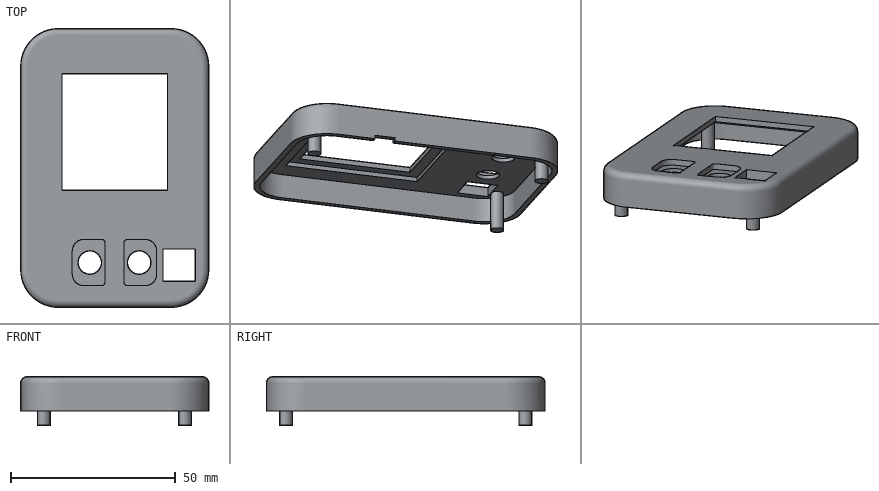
import cadquery as cq

width = 57.2
length = 84.7
body_height = 10.5
total_height = 14.8
corner_radius = 11.5
top_fillet = 2.0
wall = 1.8
roof = 3.0

window_width = 32.0
window_length = 35.2
window_y = 10.9
window_roof = 1.6
recess_margin = 3.4

button_spacing = 15.0
buttons_x = -0.1
button_y = -28.7
button_hole_diameter = 7.0
pocket_width = 10.0
pocket_length = 14.1
pocket_depth = 1.8
pocket_offset = 0.3
pocket_outer_radius = 3.55
pocket_inner_radius = 1.2

opening_size = 9.7
opening_x = 19.6
opening_y = -29.5

pin_diameter = 4.0
pin_spacing_x = 42.9
pin_spacing_y = 72.7
pins_x = -0.1
pin_length = total_height - body_height

notch_y = 16.1
notch_length = 6.35
notch_height = 1.1


def box(size_x, size_y, size_z, x, y, z):
    """Box centred on x, y with its base at z."""
    return cq.Workplane("XY").box(size_x, size_y, size_z, (True, True, False)).translate((x, y, z))


def rounded_block(inset, height):
    """Case outline moved inwards by inset, extruded upwards from z = 0."""
    block = box(width - 2 * inset, length - 2 * inset, height, 0, 0, 0)
    return block.edges("|Z").fillet(corner_radius - inset)


def button_cutter(side):
    """Pocket and hole of one button; side is -1 for the -X button, 1 for the +X button."""
    button_x = buttons_x + side * button_spacing / 2
    pocket_x = button_x + side * pocket_offset
    outer_edges, inner_edges = (">X", "<X") if side > 0 else ("<X", ">X")
    pocket = box(pocket_width, pocket_length, pocket_depth, pocket_x, button_y, body_height - pocket_depth)
    pocket = pocket.faces(outer_edges).edges("|Z").fillet(pocket_outer_radius)
    pocket = pocket.faces(inner_edges).edges("|Z").fillet(pocket_inner_radius)
    hole = cq.Workplane("XY").center(button_x, button_y).circle(button_hole_diameter / 2).extrude(body_height)
    return pocket.union(hole)


shell = rounded_block(0, body_height).faces(">Z").edges().fillet(top_fillet)
shell = shell.cut(rounded_block(wall, body_height - roof))

shell = shell.cut(box(window_width, window_length, body_height, 0, window_y, 0))
shell = shell.cut(
    box(
        window_width + 2 * recess_margin,
        window_length + 2 * recess_margin,
        body_height - window_roof,
        0,
        window_y,
        0,
    )
)

for side in (-1, 1):
    shell = shell.cut(button_cutter(side))
shell = shell.cut(box(opening_size, opening_size, body_height, opening_x, opening_y, 0))

shell = shell.cut(box(wall, notch_length, notch_height, (wall - width) / 2, notch_y, 0))

pin_corners = [(-1, -1), (1, -1), (-1, 1)]
pins = (
    cq.Workplane("XY")
    .workplane(offset=-pin_length)
    .pushPoints([(pins_x + x * pin_spacing_x / 2, y * pin_spacing_y / 2) for x, y in pin_corners])
    .circle(pin_diameter / 2)
    .extrude(total_height - window_roof)
)
result = shell.union(pins)